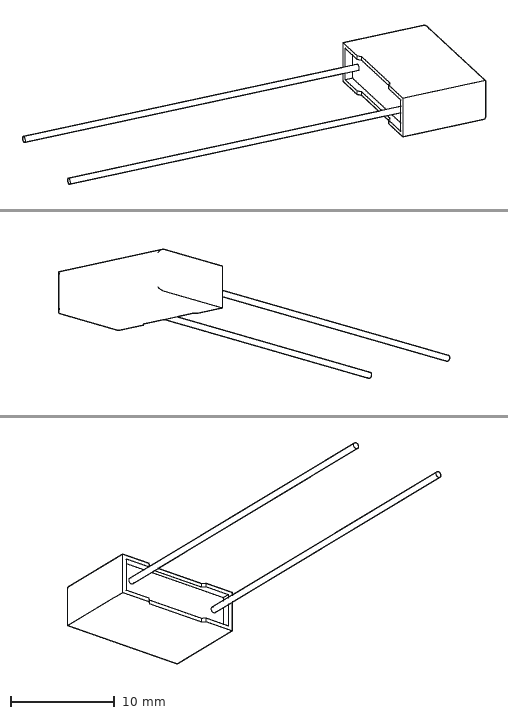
import cadquery as cq

total_length = 44.1
case_width = 13.3
case_length = 9.1
case_height = 4.2
back_fillet = 0.45

side_wall = 0.5
face_wall = 0.4
back_wall = face_wall
resin_recess = 0.8

relief_depth = 0.3
relief_rim_width = 6.95
relief_floor_width = 6.3

lead_diameter = 0.6
lead_pitch = 10.0
lead_embedment = 1.0

lead_tip_y = -total_length / 2
back_y = total_length / 2
rim_y = back_y - case_length
resin_front_y = rim_y + resin_recess
cavity_floor_y = back_y - back_wall
lead_root_y = resin_front_y + lead_embedment


def block(width, front_y, rear_y, height):
    """Box centred on X and Z that spans front_y to rear_y."""
    return cq.Workplane("XY").box(width, rear_y - front_y, height).translate(
        (0, (front_y + rear_y) / 2, 0)
    )


def cavity_block(front_y):
    """Cross-section of the cavity from front_y to the cavity floor."""
    return block(
        case_width - 2 * side_wall, front_y, cavity_floor_y, case_height - 2 * face_wall
    )


def make_rim_relief():
    """Trapezoid that cuts through both large walls at the rim."""
    return (
        cq.Workplane("XY")
        .polyline([
            (-relief_rim_width / 2, rim_y),
            (relief_rim_width / 2, rim_y),
            (relief_floor_width / 2, rim_y + relief_depth),
            (-relief_floor_width / 2, rim_y + relief_depth),
        ])
        .close()
        .extrude(case_height / 2, both=True)
    )


def make_case():
    """Open box with rounded back edges and a relieved rim."""
    shell = block(case_width, rim_y, back_y, case_height)
    shell = shell.faces(">Y").edges().fillet(back_fillet)
    return shell.cut(cavity_block(rim_y)).cut(make_rim_relief())


def make_lead(x):
    """Straight wire from its free tip to its root in the resin."""
    wire_length = lead_root_y - lead_tip_y
    tip = cq.Vector(x, lead_tip_y, 0)
    return cq.Solid.makeCylinder(lead_diameter / 2, wire_length, tip, cq.Vector(0, 1, 0))


def make_resin(lead_solids):
    """Resin fill below the rim, with a matching hole for each lead."""
    fill = cavity_block(resin_front_y)
    for lead in lead_solids:
        fill = fill.cut(cq.Workplane(obj=lead))
    return fill


case = make_case()
leads = [make_lead(side * lead_pitch / 2) for side in (-1, 1)]
resin = make_resin(leads)

result = cq.Compound.makeCompound([case.val(), resin.val(), *leads])